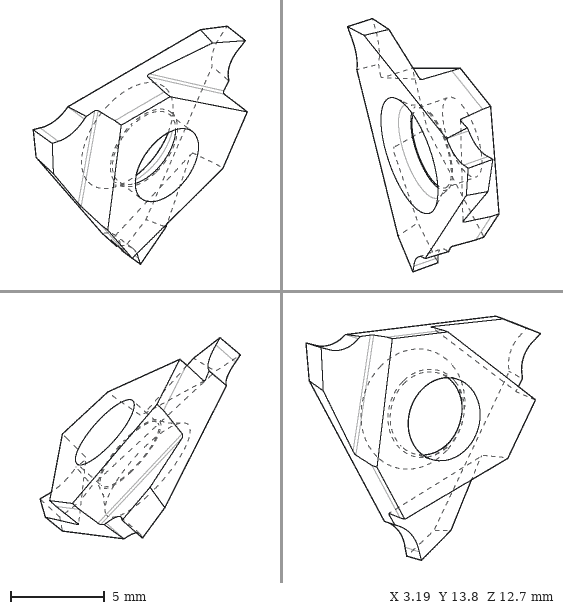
import cadquery as cq
import math

THICKNESS = 3.19
CORNERS = 3
REACH = 27.58

FRONT_INRADIUS = 4.51
SIDE_ANGLE = math.radians(4.6)
LAND_START = 2.69
REAR_INRADIUS = FRONT_INRADIUS + LAND_START * math.tan(SIDE_ANGLE)

TIP_RADIUS = 7.97
TIP_ANGLE = math.radians(147.2)
TIP = (TIP_RADIUS * math.cos(TIP_ANGLE), TIP_RADIUS * math.sin(TIP_ANGLE))
HEEL = (-6.48, 2.1)
FLANK_CLEARANCE = math.radians(1.2)
RAKE_ARC_START = (-6.2, 4.16)
RAKE_ARC_MIDDLE = (-5.38, 4.03)
RAKE_ARC_END = (-4.23, FRONT_INRADIUS)
RAKE_EXIT = (-3.4, 5.13)

RELIEF_OFFSET = 3.93
RELIEF_DEPTH_AT_FOOT = 1.06
RELIEF_TURN = math.radians(8.0)
WALL_LEAN = math.radians(1.7)
FLOOR_RISE = math.radians(4.8)
FLOOR_SLOPE_ALONG_WALL = math.radians(2.9)
RELIEF_FILLET = 0.12

SINK_RADIUS = 3.25
SEAT_RADIUS = 2.63
SEAT_DEPTH = 0.73
LEDGE_RADIUS = 2.39
LEDGE_DEPTH = 1.34
BORE_RADIUS = 2.25


def triangle_size(inradius):
    """Diameter of the circle through the corners of the triangle."""
    return 4 * inradius


def triangle(x, inradius):
    """Equilateral triangle in the plane at X = x, with one side facing +Z."""
    plane = cq.Plane(origin=(x, 0, 0), xDir=(0, 0, -1), normal=(1, 0, 0))
    return cq.Workplane(plane).polygon(CORNERS, triangle_size(inradius))


def make_body():
    tapered = (
        triangle(0, FRONT_INRADIUS)
        .workplane(offset=LAND_START)
        .polygon(CORNERS, triangle_size(REAR_INRADIUS))
        .loft(ruled=True)
    )
    land = triangle(LAND_START, REAR_INRADIUS).extrude(THICKNESS - LAND_START)
    return tapered.union(land)


def make_flank_cutter():
    """Everything outside the flat flank between the tip and the heel."""
    run_y = HEEL[0] - TIP[0]
    run_z = HEEL[1] - TIP[1]
    length = math.hypot(run_y, run_z)
    outward = (math.tan(FLANK_CLEARANCE), run_z / length, -run_y / length)
    plane = cq.Plane(origin=(0, *TIP), xDir=(0, run_y, run_z), normal=outward)
    return cq.Workplane(plane).rect(REACH, REACH).extrude(REACH)


def make_rake_cutter():
    """Concave chip face, with a short straight stretch next to the tip."""
    run_y = TIP[0] - RAKE_ARC_START[0]
    run_z = TIP[1] - RAKE_ARC_START[1]
    beyond_tip = (TIP[0] + run_y, TIP[1] + run_z)
    return (
        cq.Workplane("YZ")
        .moveTo(*beyond_tip)
        .lineTo(*RAKE_ARC_START)
        .threePointArc(RAKE_ARC_MIDDLE, RAKE_ARC_END)
        .lineTo(*RAKE_EXIT)
        .lineTo(RAKE_EXIT[0], REACH)
        .lineTo(beyond_tip[0], REACH)
        .close()
        .extrude(THICKNESS)
    )


def make_relief_cutter():
    """Wedge behind the corner: tilted floor, leaning wall and a filleted foot."""
    out_y = -math.cos(RELIEF_TURN)
    out_z = math.sin(RELIEF_TURN)
    foot = (RELIEF_DEPTH_AT_FOOT, RELIEF_OFFSET * out_y, RELIEF_OFFSET * out_z)
    along_wall = (math.tan(FLOOR_SLOPE_ALONG_WALL), out_z, -out_y)
    plane = cq.Plane(origin=foot, xDir=(0, out_y, out_z), normal=along_wall)
    return (
        cq.Workplane(plane)
        .polyline([
            (0, 0),
            (REACH, REACH * math.tan(FLOOR_RISE)),
            (REACH, REACH),
            (-REACH * math.tan(WALL_LEAN), REACH),
        ])
        .close()
        .extrude(REACH / 2, both=True)
        .edges(cq.selectors.NearestToPointSelector(foot))
        .fillet(RELIEF_FILLET)
    )


def make_hole_cutter():
    return (
        cq.Workplane("XY")
        .polyline([
            (0, 0),
            (0, SINK_RADIUS),
            (SEAT_DEPTH, SEAT_RADIUS),
            (LEDGE_DEPTH, LEDGE_RADIUS),
            (LEDGE_DEPTH, BORE_RADIUS),
            (THICKNESS, BORE_RADIUS),
            (THICKNESS, 0),
        ])
        .close()
        .revolve(360, (0, 0, 0), (1, 0, 0))
    )


result = make_body().cut(make_hole_cutter())
for corner_cutter in (make_flank_cutter(), make_rake_cutter(), make_relief_cutter()):
    for corner in range(CORNERS):
        turn = corner * 360 / CORNERS
        result = result.cut(corner_cutter.rotate((0, 0, 0), (1, 0, 0), turn))